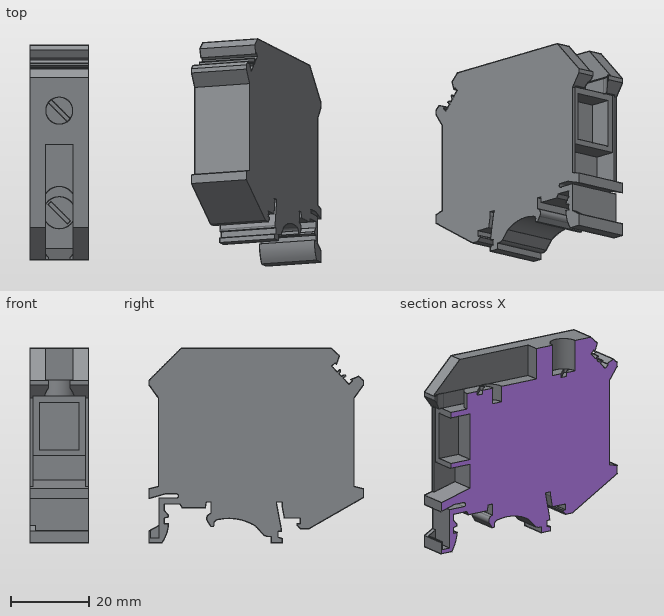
import cadquery as cq
import math


WIDTH = 15.0
HALF_LENGTH = 27.45
HEIGHT = 49.8
HALF_TOP = 19.15
WALL_Y = 25.05
SHOULDER_LOW_Z = 37.05
SHOULDER_Z = 40.4
SHOULDER_TOP_Z = 41.5
FLANGE_ROOT_Z = 14.45
FLANGE_TIP_Z = 13.85
FLANGE_SLOPE = (FLANGE_ROOT_Z - FLANGE_TIP_Z) / (HALF_LENGTH - WALL_Y)

RAIL_Z = 10.45
HOOK_Z = 6.35
LATCH_Y = -24.9
LATCH_INNER_Y = -23.5
LATCH_RAMP_TOP_Z = 4.45
LATCH_RAMP_LOW_Z = 3.05
LATCH_RAMP_WIDTH = 1.4
LATCH_LIP = 0.45
LATCH_LIP_TOP_Z = 3.2
LATCH_GROOVE_Z = 1.2

GROOVE_LOW = (23.7, 40.6)
GROOVE_HIGH = (19.3, 45.2)
CLAWS = ((0.38, -1), (0.63, 1))
CLAW_HALF_WIDTH = 0.3
CLAW_SINK = 0.2
CLAW_BACK_HEIGHT = 0.5
CLAW_HEIGHT = 0.9
CLAW_TIP_START = 0.05
CLAW_TIP_END = 0.35

POCKET_WIDTH = 13.35
POCKET_BACK_Y = -18.5
POCKET_TOP_Z = 37.5
CLAMP_FRONT_Y = -24.5
CLAMP_BOTTOM_Z = 22.4
WINDOW_WIDTH = 10.2
WINDOW_BOTTOM_Z = 23.8
WINDOW_TOP_Z = 35.9

CHANNEL_WIDTH = 7.0
CHANNEL_BACK_Y = 2.1
CHANNEL_FLOOR_Z = 41.65
RECESS_RADIUS = 4.12
RECESS_BACK_Y = -12.8
RECESS_FRONT_Y = -23.8
MOUTH_WIDTH = 5.4
SCREW_RADIUS = 4.1
SCREW_Y = -15.4
SCREW_TOP_Z = CHANNEL_FLOOR_Z
HOLE_RADIUS = 3.45
HOLE_Y = 10.7
DRIVE_LENGTH = 7.0
DRIVE_WIDTH = 1.1
DRIVE_DEPTH = 1.0
DRIVE_ANGLE = -45.0


def box(width, y_range, z_range):
    """Box centred on X, spanning the given Y and Z ranges."""
    y_min, y_max = y_range
    z_min, z_max = z_range
    return cq.Workplane("XY").box(
        width, y_max - y_min, z_max - z_min, centered=(True, False, False)
    ).translate((0, y_min, z_min))


def across(sketch):
    """Extrude a closed YZ outline over the full width."""
    return sketch.close().extrude(WIDTH / 2, both=True)


def housing():
    """Full-width housing, outlined from the top +Y corner."""
    outline = (
        cq.Workplane("YZ")
        .moveTo(HALF_TOP, HEIGHT)
        .lineTo(-HALF_TOP, HEIGHT)
        .lineTo(-HALF_LENGTH, SHOULDER_TOP_Z)
        .lineTo(-HALF_LENGTH, SHOULDER_Z)
        .lineTo(-WALL_Y, SHOULDER_LOW_Z)
        .lineTo(-WALL_Y, FLANGE_ROOT_Z)
        .lineTo(-HALF_LENGTH, FLANGE_TIP_Z)
        .lineTo(-HALF_LENGTH, 11.3)
        .lineTo(-23.3, 12.5)
        .lineTo(-20.4, 12.5)
        .threePointArc((-19.9, 12.0), (-20.4, 11.5))
        .lineTo(LATCH_Y, 11.5)
        .lineTo(LATCH_Y, LATCH_RAMP_TOP_Z)
        .lineTo(-HALF_LENGTH, LATCH_RAMP_LOW_Z)
        .lineTo(-HALF_LENGTH, 0)
        .lineTo(-24.1, 0)
        .threePointArc((-22.85, 2.5), (-22.4, 4.9))
        .lineTo(LATCH_INNER_Y, 4.9)
        .lineTo(LATCH_INNER_Y, HOOK_Z)
        .lineTo(-22.45, 6.6)
        .lineTo(-22.45, 7.1)
        .lineTo(LATCH_INNER_Y, 8.3)
        .lineTo(LATCH_INNER_Y, 9.9)
        .lineTo(-19.5, 9.9)
        .lineTo(-18.95, 8.95)
        .lineTo(-13.0, 8.95)
        .lineTo(-12.75, RAIL_Z)
        .lineTo(-11.6, RAIL_Z)
        .lineTo(-11.6, 7.6)
        .lineTo(-12.2, 7.25)
        .threePointArc((-12.65, 6.5), (-12.4, 5.4))
        .lineTo(-11.6, 4.15)
        .lineTo(-11.0, 4.15)
        .lineTo(-10.8, 4.4)
        .lineTo(-10.8, 5.2)
        .threePointArc((-10.4, 5.7), (-9.7, 5.95))
        .threePointArc((-4.8, 6.05), (-0.2, 4.3))
        .lineTo(1.9, 2.0)
        .threePointArc((2.7, 1.65), (3.8, 1.6))
        .lineTo(3.8, 0)
        .lineTo(6.65, 0)
        .lineTo(6.65, 1.15)
        .lineTo(5.6, 1.45)
        .lineTo(5.6, 2.95)
        .lineTo(6.45, 2.95)
        .lineTo(6.45, 3.45)
        .lineTo(5.2, 10.1)
        .lineTo(5.2, RAIL_Z)
        .lineTo(6.6, RAIL_Z)
        .lineTo(6.6, 9.4)
        .lineTo(7.15, HOOK_Z)
        .lineTo(11.2, HOOK_Z)
        .lineTo(11.2, 4.9)
        .lineTo(10.4, 4.9)
        .lineTo(10.4, 4.5)
        .lineTo(11.35, 3.55)
        .lineTo(13.4, 3.55)
        .lineTo(HALF_LENGTH, 11.6)
        .lineTo(HALF_LENGTH, FLANGE_TIP_Z)
        .lineTo(WALL_Y, FLANGE_ROOT_Z)
        .lineTo(WALL_Y, SHOULDER_LOW_Z)
        .lineTo(HALF_LENGTH, SHOULDER_Z)
        .lineTo(HALF_LENGTH, SHOULDER_TOP_Z)
        .lineTo(26.2, 42.6)
        .lineTo(24.15, 41.75)
        .lineTo(24.55, 41.45)
        .lineTo(*GROOVE_LOW)
        .lineTo(*GROOVE_HIGH)
        .lineTo(20.2, 46.0)
        .lineTo(20.5, 45.6)
        .lineTo(21.3, 47.8)
    )
    return across(outline)


def groove_claw(place, lean):
    """Small claw on the marker groove floor; lean is -1 toward +Y or 1 toward the top."""
    run = GROOVE_HIGH[0] - GROOVE_LOW[0]
    rise = GROOVE_HIGH[1] - GROOVE_LOW[1]
    length = math.hypot(run, rise)
    root = (
        GROOVE_LOW[0] + place * run,
        GROOVE_LOW[1] + place * rise,
    )
    profile = (
        (-CLAW_HALF_WIDTH, -CLAW_SINK),
        (-CLAW_HALF_WIDTH, CLAW_BACK_HEIGHT),
        (CLAW_TIP_START, CLAW_HEIGHT),
        (CLAW_TIP_END, CLAW_HEIGHT),
        (CLAW_HALF_WIDTH, -CLAW_SINK),
    )
    points = []
    for along, up in profile:
        y = root[0] + (lean * along * run + up * rise) / length
        z = root[1] + (lean * along * rise - up * run) / length
        points.append((y, z))
    return across(cq.Workplane("YZ").polyline(points))


def latch_groove():
    """Groove sunk into the latch ramp behind a lip, open at +X and closed at -X."""
    length = WIDTH - LATCH_RAMP_WIDTH
    groove_y = (-HALF_LENGTH + LATCH_LIP, LATCH_Y)
    groove = box(length, groove_y, (LATCH_GROOVE_Z, LATCH_RAMP_TOP_Z))
    above_lip = box(length, (-HALF_LENGTH, LATCH_Y), (LATCH_LIP_TOP_Z, LATCH_RAMP_TOP_Z))
    return groove.union(above_lip).translate((LATCH_RAMP_WIDTH / 2, 0, 0))


def conductor_pocket():
    """Pocket open to -Y; its floor continues the slope of the flange top."""
    floor_back_z = FLANGE_TIP_Z + FLANGE_SLOPE * (HALF_LENGTH + POCKET_BACK_Y)
    return (
        cq.Workplane("YZ")
        .moveTo(-HALF_LENGTH, FLANGE_TIP_Z)
        .lineTo(POCKET_BACK_Y, floor_back_z)
        .lineTo(POCKET_BACK_Y, POCKET_TOP_Z)
        .lineTo(-HALF_LENGTH, POCKET_TOP_Z)
        .close()
        .extrude(POCKET_WIDTH / 2, both=True)
    )


def clamp():
    """Clamp body filling the upper pocket, with its conductor window."""
    depth = (CLAMP_FRONT_Y, POCKET_BACK_Y)
    body = box(POCKET_WIDTH, depth, (CLAMP_BOTTOM_Z, POCKET_TOP_Z))
    return body.cut(box(WINDOW_WIDTH, depth, (WINDOW_BOTTOM_Z, WINDOW_TOP_Z)))


def cylinder(radius, y, bottom_z, top_z):
    """Upright cylinder on the mid plane."""
    return cq.Workplane("XY", origin=(0, y, bottom_z)).circle(radius).extrude(top_z - bottom_z)


def screw_channel():
    """Open channel in the top, with a round-ended recess and a mouth below."""
    channel = box(CHANNEL_WIDTH, (-HALF_LENGTH, CHANNEL_BACK_Y), (CHANNEL_FLOOR_Z, HEIGHT))
    recess_z = (POCKET_TOP_Z, CHANNEL_FLOOR_Z)
    recess = box(2 * RECESS_RADIUS, (RECESS_FRONT_Y, RECESS_BACK_Y), recess_z)
    for end_y in (RECESS_FRONT_Y, RECESS_BACK_Y):
        recess = recess.union(cylinder(RECESS_RADIUS, end_y, *recess_z))
    mouth = box(MOUTH_WIDTH, (-HALF_LENGTH, RECESS_FRONT_Y), recess_z)
    return channel.union(recess).union(mouth)


def drive_slot(y):
    """Screwdriver slot in the head of the screw at the given Y."""
    slot = cq.Workplane("XY").box(DRIVE_LENGTH, DRIVE_WIDTH, DRIVE_DEPTH)
    slot = slot.rotate((0, 0, 0), (0, 0, 1), DRIVE_ANGLE)
    return slot.translate((0, y, SCREW_TOP_Z - DRIVE_DEPTH / 2))


result = housing()
for claw_place, claw_lean in CLAWS:
    result = result.union(groove_claw(claw_place, claw_lean))
result = result.cut(latch_groove())
result = result.cut(conductor_pocket()).union(clamp())
result = result.cut(screw_channel())
result = result.union(cylinder(SCREW_RADIUS, SCREW_Y, POCKET_TOP_Z, SCREW_TOP_Z))
result = result.cut(cylinder(HOLE_RADIUS, HOLE_Y, SCREW_TOP_Z, HEIGHT))
for screw_y in (SCREW_Y, HOLE_Y):
    result = result.cut(drive_slot(screw_y))